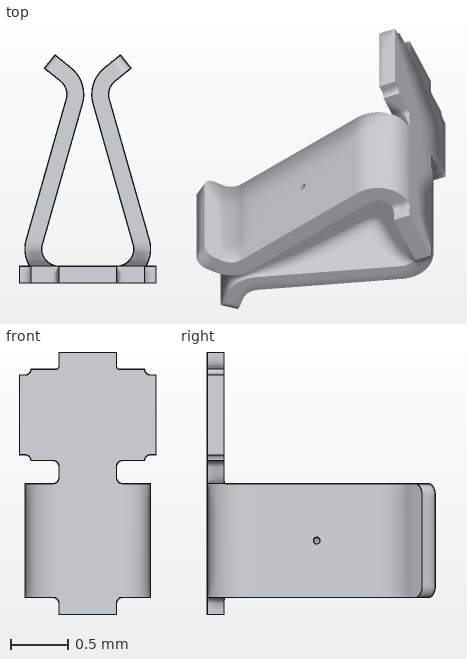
import cadquery as cq
import math

thickness = 0.15
height = 2.3
depth = 2.0
head_width = 1.2

spine_half = 0.253
head_half = head_width / 2
head_top = 2.153
head_bottom = 1.35
step = 0.05
step_width = 2 * step
spine_top_radius = 0.023
root_radius = 0.05

arm_bottom = 0.15
arm_height = 1.0
arm_top = arm_bottom + arm_height
inner_radius = 0.15
outer_radius = inner_radius + thickness
arm_lean = 15.9
arm_length = 1.28
lip_rise = 39.0
lip_corner_radius = 0.101

dimple_diameter = 0.06
dimple_y = 0.961


def polar(center, radius, degrees):
    """Point at a radius and angle around a center in the XY plane."""
    angle = math.radians(degrees)
    return (center[0] + radius * math.cos(angle), center[1] + radius * math.sin(angle))


root_center = (spine_half, outer_radius)
arm_start = polar(root_center, outer_radius, arm_lean)
arm_end = polar(arm_start, arm_length, 90 + arm_lean)
tip_center = polar(arm_end, inner_radius, arm_lean)
lip_normal = 90 + lip_rise
lip_start = polar(tip_center, outer_radius, lip_normal)
lip_length = (depth - lip_start[1]) / math.sin(math.radians(lip_rise))
lip_end = polar(lip_start, lip_length, lip_rise)


def plate():
    """Flat plate, drawn as its +X half and mirrored."""
    notch_x = head_half - step_width
    diagonal = math.sqrt(0.5)

    def fillet_arc(outline, corner, radius, side_x, side_z, from_level):
        """Inside corner arc whose center lies on the side_x, side_z side of the corner."""
        on_level = (corner[0] + side_x * radius, corner[1])
        on_upright = (corner[0], corner[1] + side_z * radius)
        inset = radius * (1 - diagonal)
        middle = (corner[0] + side_x * inset, corner[1] + side_z * inset)
        start, end = (on_level, on_upright) if from_level else (on_upright, on_level)
        return outline.lineTo(*start).threePointArc(middle, end)

    outline = cq.Workplane("XZ").moveTo(0, 0).lineTo(spine_half, 0)
    outline = fillet_arc(outline, (spine_half, head_bottom), root_radius, 1, -1, False)
    outline = fillet_arc(outline, (notch_x, head_bottom + step), step, 1, -1, False)
    outline = outline.lineTo(head_half, head_bottom + step).lineTo(head_half, head_top - step)
    outline = fillet_arc(outline, (notch_x, head_top - step), step, 1, 1, True)
    outline = fillet_arc(outline, (spine_half, head_top), spine_top_radius, 1, 1, True)
    outline = outline.lineTo(spine_half, height).lineTo(0, height).close()
    half = outline.extrude(-thickness)
    return half.union(half.mirror("YZ"))


def arm_strip(bottom, top):
    """Bent strip of one arm between two heights."""
    root_middle = (arm_lean - 90) / 2
    tip_middle = (180 + arm_lean + lip_normal) / 2
    return (
        cq.Workplane("XY", origin=(0, 0, bottom))
        .moveTo(spine_half, 0)
        .threePointArc(polar(root_center, outer_radius, root_middle), arm_start)
        .lineTo(*arm_end)
        .threePointArc(
            polar(tip_center, inner_radius, tip_middle),
            polar(tip_center, inner_radius, lip_normal),
        )
        .lineTo(*polar(lip_end, thickness, lip_normal - 180))
        .lineTo(*lip_end)
        .lineTo(*lip_start)
        .threePointArc(
            polar(tip_center, outer_radius, tip_middle),
            polar(tip_center, outer_radius, 180 + arm_lean),
        )
        .lineTo(*polar(root_center, inner_radius, arm_lean))
        .threePointArc(polar(root_center, inner_radius, root_middle), (spine_half, thickness))
        .close()
        .extrude(top - bottom)
    )


def root_fillets():
    """Fillets between the spine sides and the arm edges, following the bend."""
    bottom = arm_bottom - root_radius
    top = arm_top + root_radius
    corner_block = (
        cq.Workplane("XY", origin=(spine_half, 0, bottom))
        .box(root_radius, outer_radius, top - bottom, centered=False)
    )
    reliefs = (
        cq.Workplane("XZ")
        .pushPoints([(spine_half + root_radius, z) for z in (bottom, top)])
        .circle(root_radius)
        .extrude(-outer_radius)
    )
    strip = arm_strip(bottom, top)
    return strip.intersect(corner_block).cut(reliefs)


def dimple():
    """Ball that leaves the dimple, centered on the outer face of the arm."""
    along = (dimple_y - arm_start[1]) / math.cos(math.radians(arm_lean))
    x, y = polar(arm_start, along, 90 + arm_lean)
    middle_z = arm_bottom + arm_height / 2
    return cq.Workplane("XY", origin=(x, y, middle_z)).sphere(dimple_diameter / 2)


def arm():
    strip = arm_strip(arm_bottom, arm_top)
    lip_direction = polar((0, 0), 1, lip_rise)
    lip_end_face = strip.faces(cq.selectors.DirectionMinMaxSelector(cq.Vector(*lip_direction, 0), True))
    strip = lip_end_face.edges("#Z").fillet(lip_corner_radius)
    return strip.union(root_fillets()).cut(dimple())


right_arm = arm()
result = plate().union(right_arm).union(right_arm.mirror("YZ"))